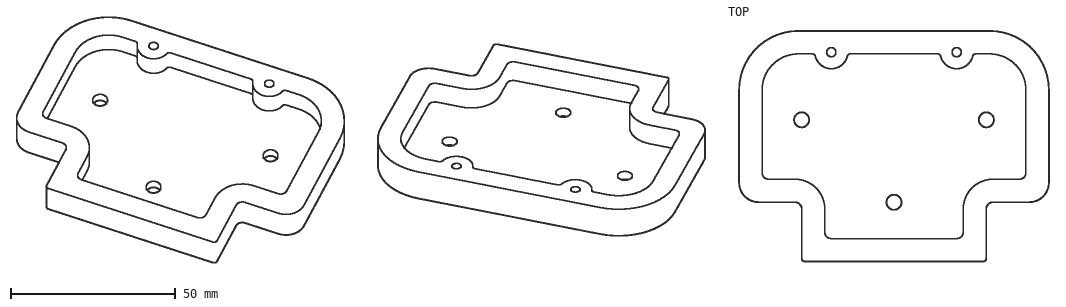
import cadquery as cq

body_width = 94.0
total_length = 70.0
stem_width = 56.0
shoulder_y = 18.0
height = 10.0

back_corner_radius = 18.0
shoulder_corner_radius = 6.0
neck_radius = 2.0
stem_corner_radius = 1.0

wall = 7.0
floor_thickness = 3.0
pocket_corner_radius = 2.0

boss_x = 19.0
boss_y = 63.5
boss_radius = 5.0
boss_blend_radius = 1.0
boss_hole_diameter = 2.8
boss_hole_depth = height - floor_thickness
pin_diameter = 2.8
pin_length = 1.0

mount_hole_diameter = 4.5
mount_hole_points = [(-28.0, 43.0), (28.0, 43.0), (0.0, 18.0)]

boss_points = [(-boss_x, boss_y), (boss_x, boss_y)]


def tee_prism(inset, base_z, top_z, back_radius, shoulder_radius, neck_fillet, stem_radius):
    """T-shaped prism inset from the outer outline, with rounded vertical edges."""
    half_body = body_width / 2 - inset
    half_stem = stem_width / 2 - inset
    front = inset
    shoulder = shoulder_y + inset
    back = total_length - inset
    prism = (
        cq.Workplane("XY")
        .workplane(offset=base_z)
        .polyline([
            (-half_stem, front),
            (half_stem, front),
            (half_stem, shoulder),
            (half_body, shoulder),
            (half_body, back),
            (-half_body, back),
            (-half_body, shoulder),
            (-half_stem, shoulder),
        ])
        .close()
        .extrude(top_z - base_z)
    )
    corner_groups = [
        (half_body, back, back_radius),
        (half_body, shoulder, shoulder_radius),
        (half_stem, shoulder, neck_fillet),
        (half_stem, front, stem_radius),
    ]
    middle_z = (base_z + top_z) / 2
    for x, y, radius in corner_groups:
        for side in (-1, 1):
            edge = cq.selectors.NearestToPointSelector((side * x, y, middle_z))
            prism = prism.edges("|Z").edges(edge).fillet(radius)
    return prism


def make_pocket():
    """Pocket volume with the bosses left standing and blended into the back wall."""
    pocket = tee_prism(
        wall,
        floor_thickness,
        height,
        back_corner_radius - wall,
        pocket_corner_radius,
        neck_radius + wall,
        pocket_corner_radius,
    )
    bosses = (
        cq.Workplane("XY")
        .workplane(offset=floor_thickness)
        .pushPoints(boss_points)
        .circle(boss_radius)
        .extrude(height - floor_thickness)
    )
    pocket = pocket.cut(bosses)

    back_wall_y = total_length - wall
    half_chord = (boss_radius**2 - (boss_y - back_wall_y) ** 2) ** 0.5
    middle_z = (floor_thickness + height) / 2
    for x, _ in boss_points:
        for side in (-1, 1):
            corner = (x + side * half_chord, back_wall_y, middle_z)
            edge = cq.selectors.NearestToPointSelector(corner)
            pocket = pocket.edges("|Z").edges(edge).fillet(boss_blend_radius)
    return pocket


def make_pins():
    """Locating pins below the base, in line with the bosses."""
    return (
        cq.Workplane("XY")
        .pushPoints(boss_points)
        .circle(pin_diameter / 2)
        .extrude(-pin_length)
    )


def make_boss_holes():
    """Blind holes running down from the boss tops."""
    return (
        cq.Workplane("XY")
        .workplane(offset=height)
        .pushPoints(boss_points)
        .circle(boss_hole_diameter / 2)
        .extrude(-boss_hole_depth)
    )


def make_mount_holes():
    """Mounting holes through the floor."""
    return (
        cq.Workplane("XY")
        .pushPoints(mount_hole_points)
        .circle(mount_hole_diameter / 2)
        .extrude(floor_thickness)
    )


tray = tee_prism(
    0.0,
    0.0,
    height,
    back_corner_radius,
    shoulder_corner_radius,
    neck_radius,
    stem_corner_radius,
)
result = (
    tray.cut(make_pocket())
    .union(make_pins())
    .cut(make_boss_holes())
    .cut(make_mount_holes())
)